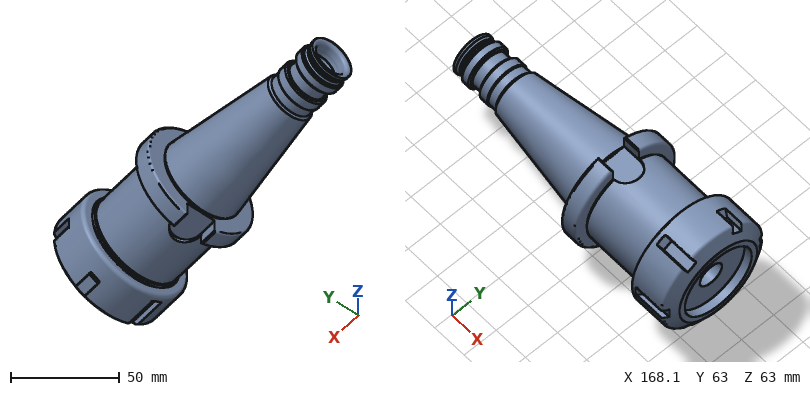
import cadquery as cq
import math

LENGTH = 168.1
MAX_RADIUS = 63.0 / 2
BODY_RADIUS = 25.0

TAIL_RADIUS = 11.6
TAIL_GROOVE_RADIUS = 11.0
TAIL_GROOVE_X = (1.7, 3.2, 4.2, 5.7)
COLLAR_RADIUS = 12.5
COLLAR_X = (6.7, 11.0)
REAR_BAND_X = (18.8, 23.9)
NECK_RADIUS = 10.5
BAND_CHAMFER = 0.8
PLAIN_RADIUS = 12.0
PLAIN_END = 29.2

TAPER_SLOPE = 7 / 48
TAPER_START = 30.5
TAPER_END = 93.5
TAPER_LARGE_RADIUS = 22.4
TAPER_SMALL_RADIUS = TAPER_LARGE_RADIUS - TAPER_SLOPE * (TAPER_END - TAPER_START)

FLANGE_X = (95.0, 105.0)
FLANGE_RADIUS = 31.3
FLANGE_REAR_FILLET = 1.0
FLANGE_FRONT_FILLET = 1.5
RELIEF_DEPTH = 0.5
RELIEF_WIDTH = 0.7

SLOT_WIDTH = 16.1
SLOT_FLOOR = 22.5
SLOT_END = 113.6
SLOT_EDGE_CHAMFER = 0.7

BORE_RADIUS = 6.9
PILOT_RADIUS = 8.5
PILOT_GROOVE_RADIUS = 8.7
PILOT_GROOVE_X = (4.9, 5.9, 7.0, 8.0)
SEAT_RADIUS = 7.7
DRILL_CONE_ANGLE = 30.0
MOUTH_FILLET = 1.8

NUT_START = 142.4
NUT_BORE_CHAMFER = 1.0
NUT_REAR_FILLET = 2.0
NOSE_RADIUS = 24.2
NOSE_ANGLE = 30.0
NOSE_FILLET = 1.7
NUT_LIP = 5.0
NUT_OPENING_RADIUS = 20.8
BODY_END = LENGTH - NUT_LIP

NUT_GROOVE_X = (140.7, 141.4, 141.7)

WRENCH_COUNT = 6
WRENCH_WIDTH = 6.0
WRENCH_DEPTH = 3.2
LONG_WRENCH_START = 146.0
SHORT_WRENCH_START = 152.6


def revolve_about_x(profile):
    """Close a half outline drawn as (x, radius) and spin it about X."""
    return profile.close().revolve(360, (0, 0, 0), (1, 0, 0))


def shank_blank():
    relief_radius = BODY_RADIUS - RELIEF_DEPTH
    profile = (
        cq.Workplane("XZ")
        .lineTo(0, TAIL_RADIUS)
        .lineTo(TAIL_GROOVE_X[0], TAIL_RADIUS)
        .lineTo(TAIL_GROOVE_X[1], TAIL_GROOVE_RADIUS)
        .lineTo(TAIL_GROOVE_X[2], TAIL_GROOVE_RADIUS)
        .lineTo(TAIL_GROOVE_X[3], TAIL_RADIUS)
        .lineTo(COLLAR_X[0] - BAND_CHAMFER / 2, TAIL_RADIUS)
        .lineTo(COLLAR_X[0], COLLAR_RADIUS)
        .lineTo(COLLAR_X[1], COLLAR_RADIUS)
        .lineTo(COLLAR_X[1] + BAND_CHAMFER, COLLAR_RADIUS - BAND_CHAMFER)
        .lineTo(COLLAR_X[1] + BAND_CHAMFER, NECK_RADIUS)
        .lineTo(REAR_BAND_X[0] - BAND_CHAMFER, NECK_RADIUS)
        .lineTo(REAR_BAND_X[0] - BAND_CHAMFER, COLLAR_RADIUS - BAND_CHAMFER)
        .lineTo(REAR_BAND_X[0], COLLAR_RADIUS)
        .lineTo(REAR_BAND_X[1], COLLAR_RADIUS)
        .lineTo(REAR_BAND_X[1] + BAND_CHAMFER / 2, PLAIN_RADIUS)
        .lineTo(PLAIN_END, PLAIN_RADIUS)
        .lineTo(TAPER_START, TAPER_SMALL_RADIUS)
        .lineTo(TAPER_END, TAPER_LARGE_RADIUS)
        .lineTo(TAPER_END + RELIEF_WIDTH, TAPER_LARGE_RADIUS)
        .lineTo(TAPER_END + RELIEF_WIDTH, TAPER_LARGE_RADIUS - RELIEF_DEPTH)
        .lineTo(FLANGE_X[0], TAPER_LARGE_RADIUS - RELIEF_DEPTH)
        .lineTo(FLANGE_X[0], FLANGE_RADIUS - FLANGE_REAR_FILLET)
        .radiusArc((FLANGE_X[0] + FLANGE_REAR_FILLET, FLANGE_RADIUS), FLANGE_REAR_FILLET)
        .lineTo(FLANGE_X[1] - FLANGE_FRONT_FILLET, FLANGE_RADIUS)
        .radiusArc((FLANGE_X[1], FLANGE_RADIUS - FLANGE_FRONT_FILLET), FLANGE_FRONT_FILLET)
        .lineTo(FLANGE_X[1], relief_radius)
        .lineTo(FLANGE_X[1] + RELIEF_WIDTH, BODY_RADIUS)
        .lineTo(NUT_GROOVE_X[0], BODY_RADIUS)
        .lineTo(NUT_GROOVE_X[1], relief_radius)
        .lineTo(NUT_GROOVE_X[2], BODY_RADIUS)
        .lineTo(BODY_END, BODY_RADIUS)
        .lineTo(BODY_END, 0)
    )
    return revolve_about_x(profile)


def bore():
    """Through hole with a wider pilot and a rounded mouth at the tail end."""
    seat_x = PILOT_GROOVE_X[3] + PILOT_RADIUS - SEAT_RADIUS
    drill_x = seat_x + (SEAT_RADIUS - BORE_RADIUS) * math.tan(math.radians(DRILL_CONE_ANGLE))
    arc_offset = MOUTH_FILLET * (1 - math.sqrt(0.5))
    mouth_radius = PILOT_RADIUS + MOUTH_FILLET
    profile = (
        cq.Workplane("XZ")
        .lineTo(0, mouth_radius)
        .threePointArc(
            (arc_offset, PILOT_RADIUS + arc_offset),
            (MOUTH_FILLET, PILOT_RADIUS),
        )
        .lineTo(PILOT_GROOVE_X[0], PILOT_RADIUS)
        .lineTo(PILOT_GROOVE_X[1], PILOT_GROOVE_RADIUS)
        .lineTo(PILOT_GROOVE_X[2], PILOT_GROOVE_RADIUS)
        .lineTo(PILOT_GROOVE_X[3], PILOT_RADIUS)
        .lineTo(seat_x, SEAT_RADIUS)
        .lineTo(drill_x, BORE_RADIUS)
        .lineTo(LENGTH, BORE_RADIUS)
        .lineTo(LENGTH, 0)
    )
    return revolve_about_x(profile)


def drive_slot(side):
    """Round-ended key slot across the flange; side is +1 (top) or -1 (bottom)."""
    half_width = SLOT_WIDTH / 2
    arc_centre = SLOT_END - half_width
    start = FLANGE_X[0] - RELIEF_WIDTH
    return (
        cq.Workplane("XY", origin=(0, 0, side * SLOT_FLOOR))
        .moveTo(start, -half_width)
        .lineTo(arc_centre, -half_width)
        .threePointArc((SLOT_END, 0), (arc_centre, half_width))
        .lineTo(start, half_width)
        .close()
        .extrude(side * MAX_RADIUS)
    )


def drive_slot_chamfer(side):
    """Flared cutter that chamfers the outer edges of one drive slot in the flange."""
    half_width = SLOT_WIDTH / 2
    edge_height = math.sqrt(FLANGE_RADIUS**2 - half_width**2)
    bottom = edge_height - SLOT_EDGE_CHAMFER
    flare = MAX_RADIUS - bottom
    return (
        cq.Workplane("YZ", origin=(FLANGE_X[0], 0, 0))
        .moveTo(-half_width, side * bottom)
        .lineTo(half_width, side * bottom)
        .lineTo(half_width + flare, side * MAX_RADIUS)
        .lineTo(-half_width - flare, side * MAX_RADIUS)
        .close()
        .extrude(FLANGE_X[1] - FLANGE_X[0])
    )


def make_holder():
    holder = shank_blank().cut(bore())
    for side in (1, -1):
        holder = holder.cut(drive_slot(side)).cut(drive_slot_chamfer(side))
    return holder


def nut_blank():
    angle = math.radians(NOSE_ANGLE)
    nose_corner = LENGTH - (MAX_RADIUS - NOSE_RADIUS) * math.tan(angle)
    nose_setback = NOSE_FILLET * math.tan((math.pi / 2 - angle) / 2)
    nose_arc_end = (
        nose_corner + nose_setback * math.sin(angle),
        MAX_RADIUS - nose_setback * math.cos(angle),
    )
    profile = (
        cq.Workplane("XZ")
        .moveTo(NUT_START + NUT_BORE_CHAMFER, BODY_RADIUS)
        .lineTo(NUT_START, BODY_RADIUS + NUT_BORE_CHAMFER)
        .lineTo(NUT_START, MAX_RADIUS - NUT_REAR_FILLET)
        .radiusArc((NUT_START + NUT_REAR_FILLET, MAX_RADIUS), NUT_REAR_FILLET)
        .lineTo(nose_corner - nose_setback, MAX_RADIUS)
        .radiusArc(nose_arc_end, NOSE_FILLET)
        .lineTo(LENGTH, NOSE_RADIUS)
        .lineTo(LENGTH, NUT_OPENING_RADIUS)
        .lineTo(BODY_END, NUT_OPENING_RADIUS)
        .lineTo(BODY_END, BODY_RADIUS)
    )
    return revolve_about_x(profile)


def wrench_slot(start, angle):
    """Slot open at the nose with a 45-degree run-out; angle is measured from -Y about X."""
    floor = MAX_RADIUS - WRENCH_DEPTH
    overshoot = WRENCH_DEPTH
    return (
        cq.Workplane("XY")
        .moveTo(start + WRENCH_DEPTH, -floor)
        .lineTo(LENGTH, -floor)
        .lineTo(LENGTH, -MAX_RADIUS - overshoot)
        .lineTo(start - overshoot, -MAX_RADIUS - overshoot)
        .close()
        .extrude(WRENCH_WIDTH / 2, both=True)
        .rotate((0, 0, 0), (1, 0, 0), angle)
    )


def make_nut():
    nut = nut_blank()
    for index in range(WRENCH_COUNT):
        angle = index * 360 / WRENCH_COUNT
        faces_front = math.cos(math.radians(angle)) > 0
        start = LONG_WRENCH_START if faces_front else SHORT_WRENCH_START
        nut = nut.cut(wrench_slot(start, angle))
    return nut


holder = make_holder()
nut = make_nut()
result = cq.Compound.makeCompound([holder.val(), nut.val()])